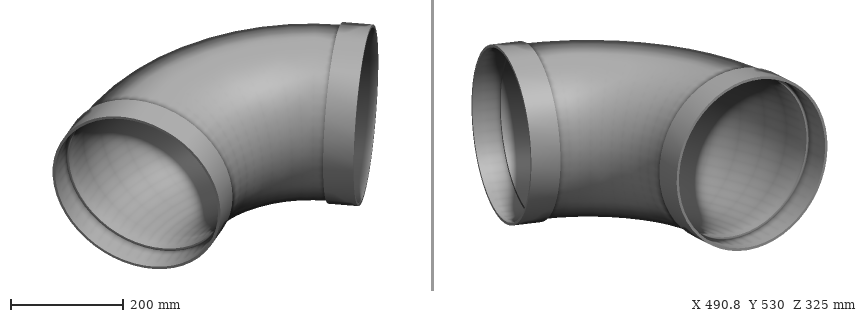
import cadquery as cq
import math

overall_length = 530.0
bend_angle = 75.0
pipe_diameter = 315.0
collar_diameter = 325.0
bore_diameter = 305.0
seat_thickness = 3.0
bend_radius = pipe_diameter

turn = math.radians(bend_angle)
bend_rise = bend_radius * math.sin(turn)
collar_rim_rise = collar_diameter / 2 * math.sin(turn)
collar_length = (overall_length - bend_rise - collar_rim_rise) / (1 + math.cos(turn))

inlet_plane = cq.Plane(origin=(0, 0, 0), xDir=(1, 0, 0), normal=(0, -1, 0))
outlet_plane = cq.Plane(
    origin=(bend_radius * (1 - math.cos(turn)), bend_rise, 0),
    xDir=(0, 0, 1),
    normal=(math.sin(turn), math.cos(turn), 0),
)


def bent_pipe():
    """Toroidal pipe wall turning from +Y toward +X."""
    return (
        cq.Workplane(inlet_plane)
        .circle(pipe_diameter / 2)
        .circle(bore_diameter / 2)
        .revolve(bend_angle, (bend_radius, 5.5, 0), (bend_radius, 0, 0))
    )


def collar(end_plane):
    """Socket ring bored to the pipe's outer diameter, with a thin seat joining it to the pipe."""
    seat = (
        cq.Workplane(end_plane)
        .circle(collar_diameter / 2)
        .circle(bore_diameter / 2)
        .extrude(seat_thickness)
    )
    socket_wall = (
        cq.Workplane(end_plane)
        .circle(collar_diameter / 2)
        .circle(pipe_diameter / 2)
        .extrude(collar_length)
    )
    return seat.union(socket_wall)


result = bent_pipe().union(collar(inlet_plane)).union(collar(outlet_plane))